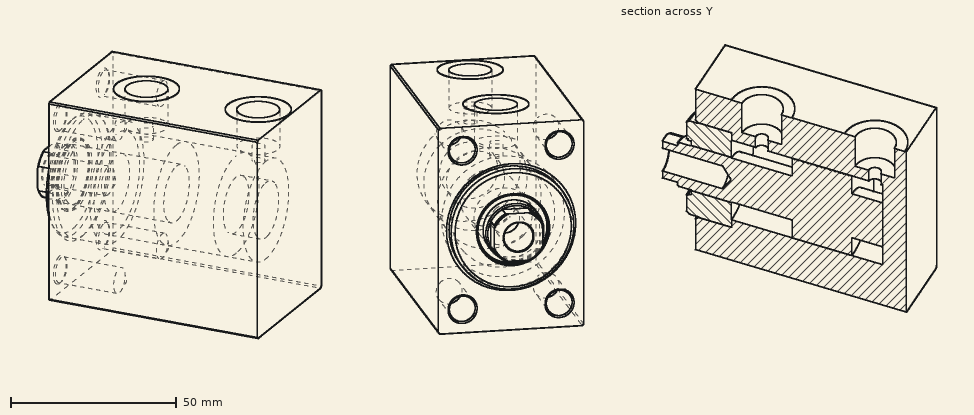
import cadquery as cq
import math


block_length = 70.0
block_width = 45.0
block_height = 65.0
block_edge_chamfer = 0.5

seat_diameter = 38.0
seat_depth = 12.0
seat_chamfer = 1.0
bore_diameter = 32.0
bore_end = 62.0

mount_spacing_y = 30.0
mount_spacing_z = 50.0
mount_diameter = 8.0
mount_chamfer = 0.5
mount_depth = 20.0

drill_point_angle = 118.0

port_positions = (22.0, 59.5)
port_face_diameter = 20.0
port_face_depth = 0.1
port_diameter = 13.0
port_depth = 12.0
port_passage_diameter = 4.0

gland_protrusion = 3.0
gland_chamfer = 1.0
recess_steps = ((22.6, 0.5), (21.6, 1.5))

rod_diameter = 18.0
rod_chamfer = 0.5
rod_shoulder = -6.0
rod_tip = -11.0
tip_diameter = 17.0
tip_flat_width = 15.0
tip_chamfer = 0.4
rod_hole_diameter = 9.0
rod_hole_chamfer = 0.25
rod_hole_depth = 20.0

piston_start = 32.0
piston_length = 20.0


def cylinder_x(start, end, diameter):
    """Solid cylinder on the X axis between two X positions."""
    return cq.Workplane("YZ", origin=(start, 0, 0)).circle(diameter / 2).extrude(end - start)


def blind_hole_cutter(start, diameter, chamfer, depth, y=0.0, z=0.0):
    """Drilled hole along +X with a chamfered mouth and a conical drill point."""
    radius = diameter / 2
    point_length = radius / math.tan(math.radians(drill_point_angle / 2))
    return (
        cq.Workplane("XY")
        .moveTo(0, 0)
        .lineTo(0, radius + chamfer)
        .lineTo(chamfer, radius)
        .lineTo(depth, radius)
        .lineTo(depth + point_length, 0)
        .close()
        .revolve(360, (0, 0, 0), (1, 0, 0))
        .translate((start, y, z))
    )


def port_cutter(x):
    """Stepped oil port from the top face down into the bore."""
    top = cq.Workplane("XY", origin=(x, 0, block_height / 2))
    spot_face = top.circle(port_face_diameter / 2).extrude(-port_face_depth)
    thread = top.circle(port_diameter / 2).extrude(-port_depth)
    passage = top.circle(port_passage_diameter / 2).extrude(-block_height / 2)
    return spot_face.union(thread).union(passage)


def make_block():
    """Rectangular housing with its seat, bore, mounting holes and ports."""
    block = (
        cq.Workplane("XY")
        .box(block_length, block_width, block_height)
        .translate((block_length / 2, 0, 0))
        .edges("|X")
        .chamfer(block_edge_chamfer)
    )
    seat = cylinder_x(0, seat_depth, seat_diameter)
    block = block.cut(seat).edges("%CIRCLE").edges("<X").chamfer(seat_chamfer)
    block = block.cut(cylinder_x(0, bore_end, bore_diameter))
    for y in (-mount_spacing_y / 2, mount_spacing_y / 2):
        for z in (-mount_spacing_z / 2, mount_spacing_z / 2):
            block = block.cut(blind_hole_cutter(0, mount_diameter, mount_chamfer, mount_depth, y, z))
    for x in port_positions:
        block = block.cut(port_cutter(x))
    return block


def make_gland():
    """Front guide ring that fills the seat and lets the rod through."""
    gland = (
        cylinder_x(-gland_protrusion, seat_depth, seat_diameter)
        .faces("<X")
        .chamfer(gland_chamfer)
    )
    gland = gland.cut(cylinder_x(-gland_protrusion, seat_depth, rod_diameter))
    for diameter, depth in recess_steps:
        gland = gland.cut(cylinder_x(-gland_protrusion, depth - gland_protrusion, diameter))
    return gland


def make_rod():
    """Piston and rod, with wrench flats and a blind hole at the tip."""
    rod = cylinder_x(rod_shoulder, bore_end, rod_diameter).faces("<X").chamfer(rod_chamfer)
    tip = cylinder_x(rod_tip, rod_shoulder, tip_diameter).faces("<X").chamfer(tip_chamfer)
    flats = (
        cq.Workplane("YZ", origin=(rod_tip, 0, 0))
        .rect(tip_flat_width, tip_flat_width)
        .extrude(rod_shoulder - rod_tip)
    )
    piston = cylinder_x(piston_start, piston_start + piston_length, bore_diameter)
    rod = rod.union(tip.intersect(flats)).union(piston)
    return rod.cut(blind_hole_cutter(rod_tip, rod_hole_diameter, rod_hole_chamfer, rod_hole_depth))


block = make_block()
gland = make_gland()
rod = make_rod()

result = cq.Compound.makeCompound([block.val(), gland.val(), rod.val()])